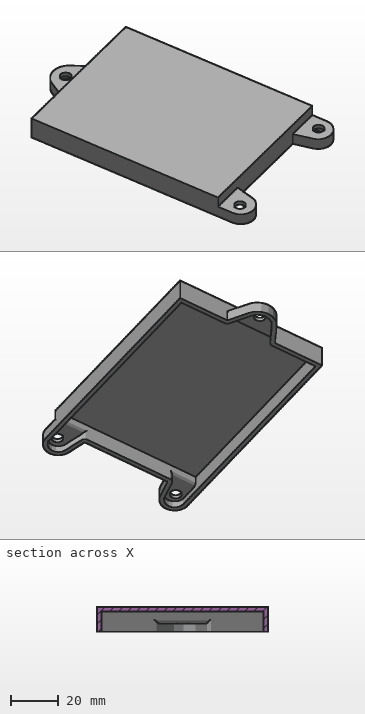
import cadquery as cq
import math

overall_length = 120.47

body_length = 94.0
body_width = 72.0
body_height = 10.44

step_height = 5.0
lug_height = body_height - step_height
hole_diameter = 5.0

wall = 2.0

centre_lug_reach = 12.8
centre_lug_radius = 8.2
centre_lug_flank_angle = 30.0
centre_hole_offset = 6.5

corner_lug_radius = 6.5
corner_lug_reach = overall_length - body_length - centre_lug_reach
corner_lug_flank_angle = 14.0
corner_hole_offset = 7.1
corner_hole_inset = 6.0


def centre_lug():
    """Symmetric lug: a round nose whose flanks run tangentially back to the -X face."""
    face_x = -body_length / 2
    tip_x = face_x - centre_lug_reach
    nose_x = tip_x + centre_lug_radius
    flank = math.radians(centre_lug_flank_angle)
    tangent_x = nose_x - centre_lug_radius * math.sin(flank)
    tangent_y = centre_lug_radius * math.cos(flank)
    root_y = tangent_y + (face_x - tangent_x) * math.tan(flank)
    return (
        cq.Workplane("XY")
        .moveTo(face_x, -root_y)
        .lineTo(tangent_x, -tangent_y)
        .threePointArc((tip_x, 0), (tangent_x, tangent_y))
        .lineTo(face_x, root_y)
        .close()
        .extrude(lug_height)
    )


def corner_lug():
    """Lug at the +X, +Y corner: one side flush with the body, the other side sloping."""
    face_x = body_length / 2
    side_y = body_width / 2
    tip_x = face_x + corner_lug_reach
    nose_x = tip_x - corner_lug_radius
    nose_y = side_y - corner_lug_radius
    flank = math.radians(corner_lug_flank_angle)
    tangent_x = nose_x + corner_lug_radius * math.sin(flank)
    tangent_y = nose_y - corner_lug_radius * math.cos(flank)
    root_y = tangent_y - (tangent_x - face_x) * math.tan(flank)
    return (
        cq.Workplane("XY")
        .moveTo(face_x, side_y)
        .lineTo(nose_x, side_y)
        .threePointArc((tip_x, nose_y), (tangent_x, tangent_y))
        .lineTo(face_x, root_y)
        .close()
        .extrude(lug_height)
    )


def screw_holes():
    """One vertical cutter through each lug."""
    centre_hole_x = -body_length / 2 - centre_hole_offset
    corner_hole_x = body_length / 2 + corner_hole_offset
    corner_hole_y = body_width / 2 - corner_hole_inset
    hole_centres = [
        (centre_hole_x, 0),
        (corner_hole_x, corner_hole_y),
        (corner_hole_x, -corner_hole_y),
    ]
    return cq.Workplane("XY").pushPoints(hole_centres).circle(hole_diameter / 2).extrude(lug_height)


body = cq.Workplane("XY").box(body_length, body_width, body_height, centered=(True, True, False))
upper_lug = corner_lug()
lower_lug = upper_lug.mirror("XZ")
solid_cover = body.union(centre_lug()).union(upper_lug).union(lower_lug)
hollow_cover = solid_cover.faces("<Z").shell(-wall)
result = hollow_cover.cut(screw_holes())